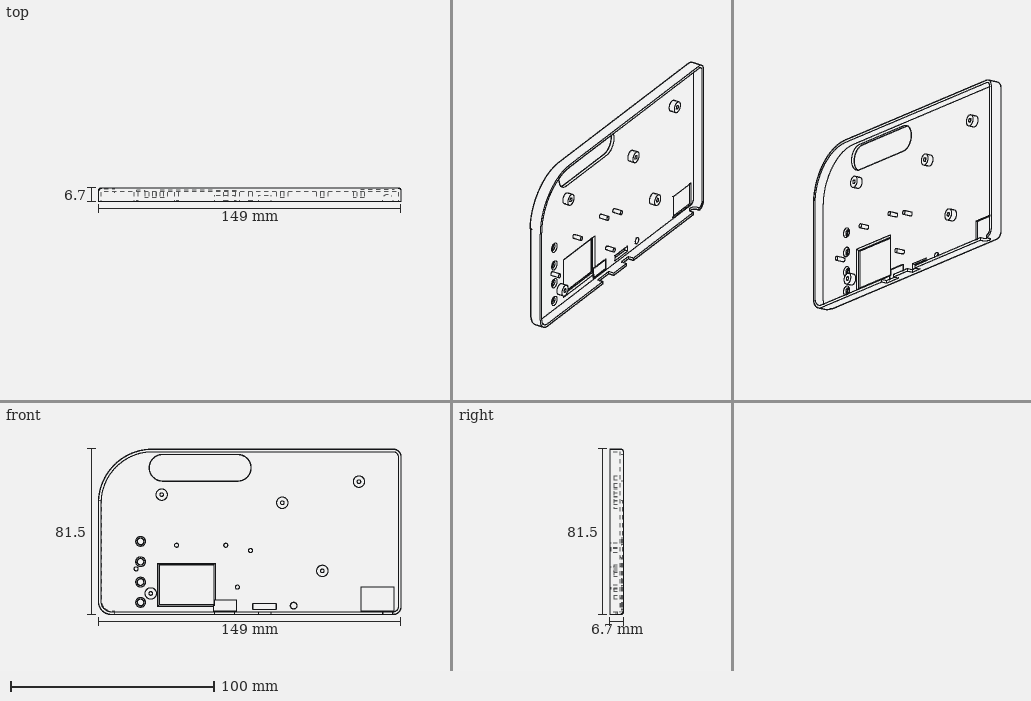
import cadquery as cq

width = 149.0
height = 81.45
depth = 6.7
wall = 1.35
plate = 1.7
plate_face = depth - plate
large_corner = 26.7
lower_left_corner = 6.5
right_corner = 4.0
outer_edge_round = 1.4

rebate_depth = 0.45
rebate_round = 1.7
rebate_top = height - large_corner + outer_edge_round
rebate_end = lower_left_corner + outer_edge_round
overshoot = 1.0

handle_length = 50.0
handle_height = 13.0
handle_center = (50.1, 72.2)

window_center = (43.4, 14.65)
window_size = (26.8, 19.5)
window_bevel = 0.8

button_x = 20.8
button_first_z = 6.0
button_pitch = 10.0
button_count = 4
button_hole = 3.2
button_bevel = 0.8

boss_diameter = 5.6
boss_hole = 1.8
boss_length = 3.0
boss_places = [(31.2, 59.0), (25.8, 10.4), (90.5, 55.0), (128.2, 65.4), (110.2, 21.5)]
pin_diameter = 2.0
pin_length = 4.4
pin_places = [(38.5, 34.1), (62.7, 34.1), (74.9, 31.5), (68.4, 13.5), (18.6, 22.5)]

slot_center = (81.75, 4.0)
slot_size = (11.5, 2.8)
light_hole = 3.16
light_hole_center = (96.1, 4.4)

pocket_bottom = 1.75
plug_pocket = (56.7, 68.0, 7.3, 0.5)
jack_pocket = (129.2, 145.4, 13.6, 0.9)

notch_depth = 3.0
notches = [(57.15, 67.1), (78.7, 85.0)]
jack_notch_x = 142.4
jack_notch_diameter = 5.2
jack_notch_y = 1.0


def plane_at(y):
    """Work plane at the given Y: local x is X, local y is Z, and its normal is -Y."""
    return cq.Workplane("XZ", origin=(0, y, 0))


def block(x0, x1, y0, y1, z0, z1):
    """Box between the given limits."""
    return cq.Workplane("XY").box(x1 - x0, y1 - y0, z1 - z0, centered=False).translate((x0, y0, z0))


def cylinder(place, diameter, y0, y1):
    """Cylinder along Y between the given limits."""
    return plane_at(y0).center(*place).circle(diameter / 2).extrude(y0 - y1)


def rounded_outline(inset, y0, y1):
    """Tray outline moved inwards by inset, as a solid between two Y values."""
    body = block(inset, width - inset, y0, y1, inset, height - inset)
    body = body.edges("|Y and <X and >Z").fillet(large_corner - inset)
    body = body.edges("|Y and <X and <Z").fillet(lower_left_corner - inset)
    return body.edges("|Y and >X").fillet(right_corner - inset)


def side_rebate():
    """Material removed along the left side and the lower left corner of the outer face."""
    floor = depth - rebate_depth
    path = (
        cq.Workplane("XZ", origin=(0, depth, 0))
        .moveTo(0, rebate_top)
        .lineTo(0, lower_left_corner)
        .radiusArc((lower_left_corner, 0), -lower_left_corner)
        .lineTo(rebate_end, 0)
    )
    profile = (
        cq.Workplane("XY", origin=(0, 0, rebate_top))
        .moveTo(0, floor - rebate_round)
        .radiusArc((rebate_round, floor), rebate_round)
        .lineTo(rebate_round, depth + overshoot)
        .lineTo(-overshoot, depth + overshoot)
        .lineTo(-overshoot, floor - rebate_round)
        .close()
    )
    return profile.sweep(path)


def tray():
    outside = rounded_outline(0, 0, depth).faces(">Y").edges().fillet(outer_edge_round)
    outside = outside.cut(side_rebate())
    return outside.cut(rounded_outline(wall, 0, plate_face))


def handle_opening():
    return plane_at(0).center(*handle_center).slot2D(handle_length, handle_height).extrude(-depth)


def window():
    straight = plane_at(0).center(*window_center).rect(*window_size).extrude(-depth)
    wide = [side + 2 * window_bevel for side in window_size]
    bevel = (
        plane_at(plate_face).center(*window_center).rect(*wide)
        .workplane(offset=-window_bevel).rect(*window_size).loft()
    )
    return straight.union(bevel)


def button_holes():
    holes = cq.Workplane("XY")
    for i in range(button_count):
        place = (button_x, button_first_z + i * button_pitch)
        holes = holes.union(cylinder(place, button_hole, 0, depth))
        holes = holes.union(
            plane_at(plate_face).center(*place).circle(button_hole / 2 + button_bevel)
            .workplane(offset=-button_bevel).circle(button_hole / 2).loft()
        )
    return holes


def bosses():
    posts = cq.Workplane("XY")
    for place in boss_places:
        post = cylinder(place, boss_diameter, plate_face - boss_length, plate_face)
        posts = posts.union(post.cut(cylinder(place, boss_hole, plate_face - boss_length, plate_face)))
    return posts


def pins():
    posts = cq.Workplane("XY")
    for place in pin_places:
        posts = posts.union(cylinder(place, pin_diameter, plate_face - pin_length, plate_face))
    return posts


def plate_openings():
    slot = plane_at(0).center(*slot_center).rect(*slot_size).extrude(-depth)
    return slot.union(cylinder(light_hole_center, light_hole, 0, depth))


def pockets():
    cuts = cq.Workplane("XY")
    for left, right, top, sunk in (plug_pocket, jack_pocket):
        cuts = cuts.union(block(left, right, plate_face, plate_face + sunk, pocket_bottom, top))
    return cuts


def wall_openings():
    cuts = cq.Workplane("XY")
    for left, right in notches:
        cuts = cuts.union(block(left, right, 0, notch_depth, 0, wall))
    round_notch = (
        cq.Workplane("XY").center(jack_notch_x, jack_notch_y).circle(jack_notch_diameter / 2).extrude(wall)
    )
    return cuts.union(round_notch)


result = (
    tray()
    .cut(handle_opening())
    .cut(window())
    .cut(plate_openings())
    .cut(pockets())
    .cut(wall_openings())
    .union(bosses())
    .union(pins())
    .cut(button_holes())
)